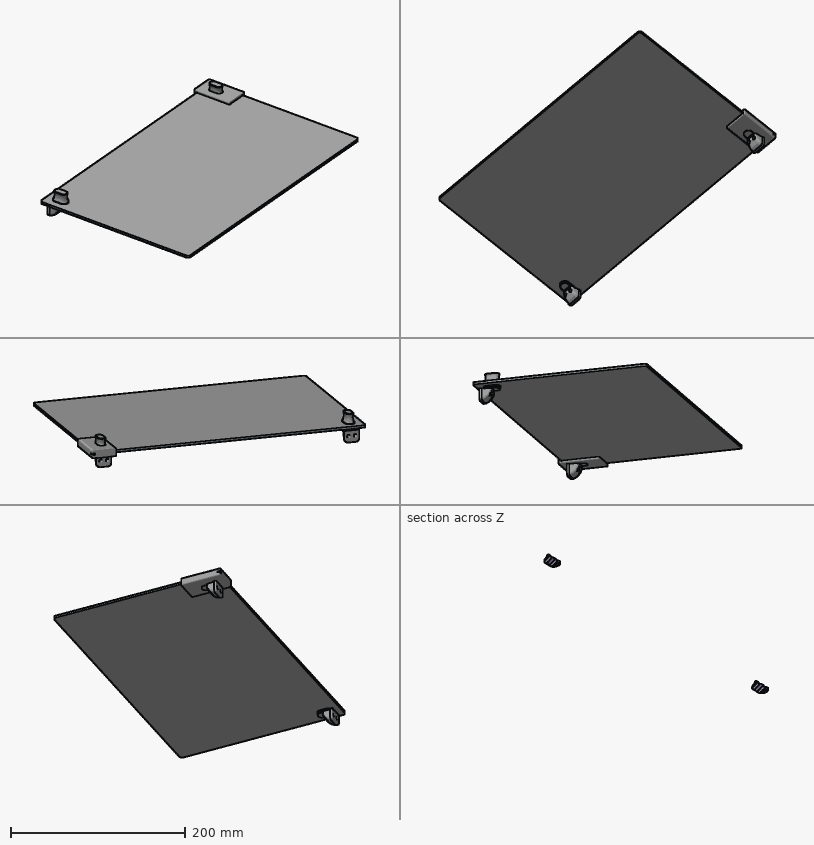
import cadquery as cq

TOTAL_LENGTH = 335.0
TOTAL_WIDTH = 215.0
LEFT_END = -TOTAL_WIDTH / 2
BACK_END = TOTAL_LENGTH / 2
FRONT_END = -TOTAL_LENGTH / 2

PANEL_THICKNESS = 3.0
PANEL_CORNER_RADIUS = 3.5
CLAMP_WALL = 3.5
PANEL_TOP = PANEL_THICKNESS / 2
PANEL_WIDTH = TOTAL_WIDTH - CLAMP_WALL
PANEL_LENGTH = TOTAL_LENGTH - CLAMP_WALL

CLAMP_LENGTH = 50.0
CLAMP_DEPTH = 30.0
CLAMP_HEIGHT = 10.0
CLAMP_LONG_EDGE_RADIUS = 2.18
CLAMP_LEFT_RADIUS = 0.5
CLAMP_RIGHT_RADIUS = 1.0
CLAMP_TOP = CLAMP_HEIGHT / 2
RELIEF_DIAMETER = 2.0
RELIEF_INSET = 3.0
RELIEF_SLIT_HEIGHT = 0.7

FASTENER_X = LEFT_END + 22.0
FASTENER_BACK_Y = BACK_END - 18.0
FASTENER_FRONT_Y = FRONT_END + 15.0

KNOB_TOP = 13.7
KNOB_STRAIGHT = 8.0
KNOB_RIM_RADIUS = 4.7
KNOB_RIM_CHAMFER = 0.7
KNOB_WAIST_RADIUS = 4.0
KNOB_WAIST_HEIGHT = 8.0
BASE_RADIUS = 6.0
BASE_RIM = 0.7

COLLAR_SMALL_RADIUS = 5.5
COLLAR_TAPER_BOTTOM = -3.7

BRACKET_BOTTOM = -19.5
BRACKET_TOP = -CLAMP_TOP
BRACKET_WIDTH = 18.0
BRACKET_LEFT = LEFT_END + 9.0
PLATE_THICKNESS = 3.0
PLATE_CORNER_RADIUS = 4.5
PLATE_EDGE_RADIUS = 0.5
HOLE_DIAMETER = 3.5
HOLE_MOUTH_RADIUS = 0.7
HOLE_SPACING = 8.0
HOLE_Z = -11.7
GUSSET_REACH = 11.0
GUSSET_SIDE_STEP = 0.7
GUSSET_TAPER = 1.7
GUSSET_STRAIGHT_HEIGHT = 3.5
GUSSET_BULGE = 2.0
GUSSET_EDGE_RADIUS = 3.0


def make_panel():
    """Thin rectangular sheet with rounded corners."""
    return (
        cq.Workplane("XY", origin=(LEFT_END + CLAMP_WALL, FRONT_END, -PANEL_TOP))
        .rect(PANEL_WIDTH, PANEL_LENGTH, centered=False)
        .extrude(PANEL_THICKNESS)
        .edges("|Z")
        .fillet(PANEL_CORNER_RADIUS)
    )


def make_clamp():
    """Rounded block that wraps the corner of the panel."""
    block = (
        cq.Workplane("XY", origin=(LEFT_END, BACK_END - CLAMP_DEPTH, -CLAMP_TOP))
        .box(CLAMP_LENGTH, CLAMP_DEPTH, CLAMP_HEIGHT, centered=False)
        .edges("|X")
        .fillet(CLAMP_LONG_EDGE_RADIUS)
        .faces("<X")
        .edges()
        .fillet(CLAMP_LEFT_RADIUS)
        .faces(">X")
        .edges()
        .fillet(CLAMP_RIGHT_RADIUS)
    )
    relief_y = BACK_END - RELIEF_INSET
    relief_plane = cq.Workplane("YZ", origin=(LEFT_END, 0, 0))
    relief_hole = relief_plane.center(relief_y, 0).circle(RELIEF_DIAMETER / 2).extrude(CLAMP_WALL)
    relief_slit = (
        relief_plane.center(relief_y + RELIEF_INSET / 2, 0)
        .rect(RELIEF_INSET, RELIEF_SLIT_HEIGHT)
        .extrude(CLAMP_WALL)
    )
    return block.cut(relief_hole).cut(relief_slit)


def make_oblong(draw_section):
    """Oblong body: a round end at each end of a straight middle with the same side profile."""
    half = KNOB_STRAIGHT / 2
    right_section = draw_section(cq.Workplane("YZ", origin=(-half, 0, 0)))
    right_half = right_section.extrude(KNOB_STRAIGHT)
    body = right_half.union(right_half.mirror("XZ"))
    for end_x in (-half, half):
        round_end = draw_section(cq.Workplane("XZ")).revolve(360, (0, 0, 0), (0, 1, 0))
        body = body.union(round_end.translate((end_x, 0, 0)))
    return body


def draw_knob_section(plane):
    """Half section of the knob: base rim, concave side and chamfered top rim."""
    waist = (KNOB_WAIST_RADIUS, KNOB_WAIST_HEIGHT)
    rim_bottom = (KNOB_RIM_RADIUS, KNOB_TOP - KNOB_RIM_CHAMFER)
    return (
        plane.moveTo(0, PANEL_TOP)
        .lineTo(BASE_RADIUS, PANEL_TOP)
        .lineTo(BASE_RADIUS, PANEL_TOP + BASE_RIM)
        .threePointArc(waist, rim_bottom)
        .lineTo(KNOB_RIM_RADIUS - KNOB_RIM_CHAMFER, KNOB_TOP)
        .lineTo(0, KNOB_TOP)
        .close()
    )


def draw_collar_section(plane):
    """Half section of the collar: rim against the panel, then a taper down to the bracket."""
    return (
        plane.moveTo(0, -PANEL_TOP)
        .lineTo(BASE_RADIUS, -PANEL_TOP)
        .lineTo(BASE_RADIUS, -PANEL_TOP - BASE_RIM)
        .lineTo(COLLAR_SMALL_RADIUS, COLLAR_TAPER_BOTTOM)
        .lineTo(COLLAR_SMALL_RADIUS, BRACKET_TOP)
        .lineTo(0, BRACKET_TOP)
        .close()
    )


def make_bracket():
    """Upright plate with two screw holes and a curved gusset behind it, centred on Y = 0."""
    height = BRACKET_TOP - BRACKET_BOTTOM
    plate = (
        cq.Workplane("XY", origin=(BRACKET_LEFT, -BRACKET_WIDTH / 2, BRACKET_BOTTOM))
        .box(PLATE_THICKNESS, BRACKET_WIDTH, height, centered=False)
        .edges("|X and <Z")
        .fillet(PLATE_CORNER_RADIUS)
        .faces("<X or >X")
        .edges("not >Z")
        .fillet(PLATE_EDGE_RADIUS)
    )
    screw_holes = (
        cq.Workplane("YZ", origin=(BRACKET_LEFT, 0, HOLE_Z))
        .pushPoints([(-HOLE_SPACING / 2, 0), (HOLE_SPACING / 2, 0)])
        .circle(HOLE_DIAMETER / 2)
        .extrude(PLATE_THICKNESS + GUSSET_REACH)
    )
    hole_edges = cq.selectors.RadiusNthSelector(0)
    drilled = plate.union(make_gusset()).cut(screw_holes)
    return drilled.faces("<X").edges(hole_edges).fillet(HOLE_MOUTH_RADIUS)


def make_gusset():
    """Tapered wedge behind the plate, with its curved back rounded into its sides."""
    plate_back = BRACKET_LEFT + PLATE_THICKNESS
    back = plate_back + GUSSET_REACH
    root_half_width = BRACKET_WIDTH / 2 - GUSSET_SIDE_STEP
    back_half_width = root_half_width - GUSSET_TAPER
    curve_top = BRACKET_TOP - GUSSET_STRAIGHT_HEIGHT
    curve_bottom = BRACKET_BOTTOM + PLATE_EDGE_RADIUS
    plan = (
        cq.Workplane("XY", origin=(0, 0, BRACKET_BOTTOM))
        .polyline(
            [
                (plate_back, -root_half_width),
                (back, -back_half_width),
                (back, back_half_width),
                (plate_back, root_half_width),
            ]
        )
        .close()
        .extrude(BRACKET_TOP - BRACKET_BOTTOM)
    )
    side = (
        cq.Workplane("XZ")
        .moveTo(plate_back, BRACKET_TOP)
        .lineTo(back, BRACKET_TOP)
        .lineTo(back, curve_top)
        .sagittaArc((plate_back, curve_bottom), GUSSET_BULGE)
        .close()
        .extrude(BRACKET_WIDTH / 2, both=True)
    )
    return plan.intersect(side).edges("not (<X or >Z or |Y)").fillet(GUSSET_EDGE_RADIUS)


panel = make_panel()
clamp = make_clamp().cut(panel)
knobs = []
collars = []
brackets = []
for fastener_y in (FASTENER_BACK_Y, FASTENER_FRONT_Y):
    knob = make_oblong(draw_knob_section).translate((FASTENER_X, fastener_y, 0))
    collar = make_oblong(draw_collar_section).translate((FASTENER_X, fastener_y, 0))
    clamp = clamp.cut(knob).cut(collar)
    knobs.append(knob.val())
    collars.append(collar.val())
    brackets.append(make_bracket().translate((0, fastener_y, 0)).val())

result = cq.Compound.makeCompound([panel.val(), clamp.val(), *knobs, *collars, *brackets])